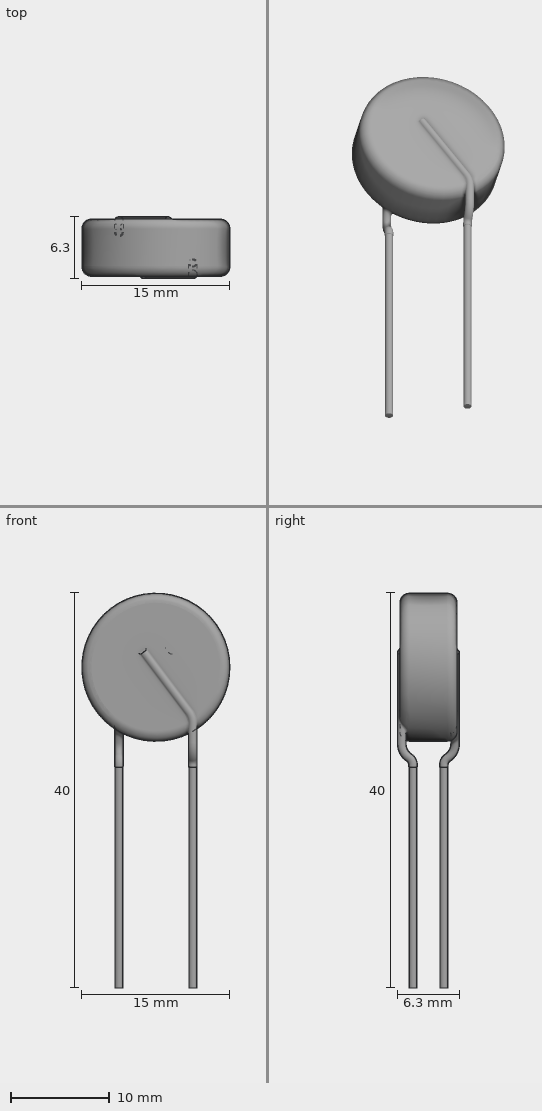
import cadquery as cq
import math

total_height = 40
disc_diameter = 15.0
disc_thickness = 5.8
disc_edge_radius = 1.0
width_over_leads = 6.3

wire_diameter = 0.8
coating_diameter = 0.9
lead_pitch = 7.5
wire_row_spacing = 3.1
coating_end_radius = 0.1
coating_blend_radius = 0.2

diagonal_angle = math.radians(37)
diagonal_bend_radius = 2
diagonal_bend_bottom = -5.75
tip_height = 1.5
jog_top = -7.75
jog_upper_radius = 1.7
jog_lower_radius = 0.9
coating_overrun = 0.25

disc_radius = disc_diameter / 2
lead_x = lead_pitch / 2
lead_bottom = disc_radius - total_height
coated_y = -(width_over_leads - coating_diameter) / 2
wire_y = -wire_row_spacing / 2
jog_angle = math.acos(1 - (wire_y - coated_y) / (jog_upper_radius + jog_lower_radius))
jog_bottom = jog_top - (jog_upper_radius + jog_lower_radius) * math.sin(jog_angle)
coating_bottom = jog_bottom - coating_overrun


def make_disc():
    """Round body lying across Y, with both rims rounded."""
    disc = cq.Workplane("XZ").circle(disc_radius).extrude(disc_thickness / 2, both=True)
    return disc.faces("<Y or >Y").edges().fillet(disc_edge_radius)


def make_coating():
    """Coated stretch of the front lead: two jog bends, a straight, one bend and a diagonal.

    Its lower end is rounded where the bare wire comes out.
    """

    def jog_lower_point(angle):
        y = wire_y - jog_lower_radius * (1 - math.cos(angle))
        return cq.Vector(lead_x, y, jog_bottom + jog_lower_radius * math.sin(angle))

    def jog_upper_point(angle):
        y = coated_y + jog_upper_radius * (1 - math.cos(angle))
        return cq.Vector(lead_x, y, jog_top - jog_upper_radius * math.sin(angle))

    def diagonal_bend_point(angle):
        x = lead_x - diagonal_bend_radius * (1 - math.cos(angle))
        return cq.Vector(x, coated_y, diagonal_bend_bottom + diagonal_bend_radius * math.sin(angle))

    start = cq.Vector(lead_x, wire_y, coating_bottom)
    diagonal_start = diagonal_bend_point(diagonal_angle)
    diagonal_rise = tip_height - diagonal_start.z
    tip_x = diagonal_start.x - diagonal_rise * math.tan(diagonal_angle)
    tip = cq.Vector(tip_x, coated_y, tip_height)

    path = cq.Wire.assembleEdges([
        cq.Edge.makeLine(start, jog_lower_point(0)),
        cq.Edge.makeThreePointArc(
            jog_lower_point(0), jog_lower_point(jog_angle / 2), jog_lower_point(jog_angle)
        ),
        cq.Edge.makeThreePointArc(
            jog_upper_point(jog_angle), jog_upper_point(jog_angle / 2), jog_upper_point(0)
        ),
        cq.Edge.makeLine(jog_upper_point(0), diagonal_bend_point(0)),
        cq.Edge.makeThreePointArc(
            diagonal_bend_point(0), diagonal_bend_point(diagonal_angle / 2), diagonal_start
        ),
        cq.Edge.makeLine(diagonal_start, tip),
    ])
    section = cq.Workplane("XY", origin=start.toTuple()).circle(coating_diameter / 2)
    coating = section.sweep(cq.Workplane(path))
    return coating.faces("<Z").edges().fillet(coating_end_radius)


def make_bare_wire():
    """Straight bare wire below the coating of the front lead."""
    base = cq.Workplane("XY", origin=(lead_x, wire_y, lead_bottom))
    return base.circle(wire_diameter / 2).extrude(coating_bottom - lead_bottom)


def turned_half(solid):
    """Copy turned half a revolution about Z, for the rear lead."""
    return solid.rotate((0, 0, 0), (0, 0, 1), 180)


def seam_edges(body, first, second):
    """Edges of a joined body that run along the surfaces of both of its parts."""
    touch_gap = 0.0005
    surfaces = [part.val().Shells()[0] for part in (first, second)]
    seam = []
    for edge in body.edges().vals():
        middle = cq.Vertex.makeVertex(*edge.positionAt(0.5).toTuple())
        if all(surface.distance(middle) < touch_gap for surface in surfaces):
            seam.append(edge)
    return seam


disc = make_disc()
front_coating = make_coating()
front_wire = make_bare_wire()

body = disc
for coating in (front_coating, turned_half(front_coating)):
    body = body.union(coating)
    body = body.newObject(seam_edges(body, disc, coating)).fillet(coating_blend_radius)

result = body.union(front_wire).union(turned_half(front_wire))